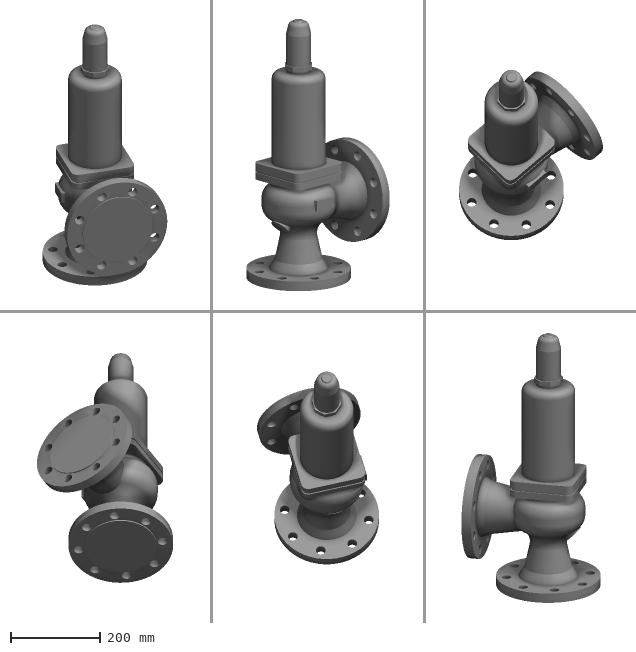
import cadquery as cq
import math


flange_radius = 117.5
flange_depth = 25.5
raised_face_radius = 81.5
raised_face_height = 3.0
bolt_circle_radius = 95.0
bolt_hole_diameter = 21.5
bolt_count = 8

inlet_hub_radius = 67.0
inlet_hub_top = 47.0
inlet_cone_radius = 53.5
throat_radius = 41.5
throat_blend = 36.0
throat_overrun = 10.0

outlet_face_x = 175.0
outlet_axis_z = 175.0
outlet_hub_radius = 68.0
outlet_hub_x = 133.0
outlet_cone_radius = 60.0
outlet_root_radius = 35.5

bowl_radius = 83.0
bowl_band_bottom = 172.5
bowl_band_top = 189.0
bowl_lower_round = 36.0
bowl_upper_round = 33.0
collar_radius = 62.0
collar_blend = 8.0

plate_size = 147.0
plate_corner = 16.0
lower_plate_bottom = 232.0
lower_plate_top = 248.5
upper_plate_bottom = 252.0
upper_plate_top = 270.5
gasket_size = 142.0
plate_blend = 4.0

bonnet_radius = 60.0
bonnet_top = 483.5
bonnet_round = 15.5

neck_radius = 28.0
nut_bottom = 489.5
nut_top = 501.0
nut_width = 61.0
nut_sides = 8
cap_radius = 28.5
cap_taper_bottom = 571.5
cap_taper_top = 591.0
cap_taper_radius = 23.5
cap_shoulder = 599.5
cap_tip_base_radius = 12.5
cap_tip_radius = 10.0
cap_tip = 603.0

boss_diameter = 45.0
boss_face_x = -58.5
boss_face_z = 129.5
boss_length = 48.0

name_plate_width = 53.0
name_plate_bottom = 178.0
name_plate_top = 202.0
name_plate_face_y = -86.0


def bowl_blend(throat, blend, round_radius, band_z, direction, overrun=0.0):
    """Join a neck to a bowl rounding with a tangent concave arc.

    throat is the narrowest radius the arc reaches, and overrun is how far (in radians) the arc
    runs on past that point to meet a sloping neck wall.
    direction is +1 for the rounding above the band and -1 for the one below.
    Returns the neck end, the blend middle, the shared tangent point and the rounding middle.
    """
    round_r = bowl_radius - round_radius
    blend_r = throat + blend
    spread = round_radius + blend
    rise = math.sqrt(spread**2 - (blend_r - round_r) ** 2)
    blend_z = band_z + direction * rise
    angle = math.atan2(rise, blend_r - round_r)

    def round_point(a):
        return (
            round_r + round_radius * math.cos(a),
            band_z + direction * round_radius * math.sin(a),
        )

    def blend_point(a):
        return (
            blend_r - blend * math.cos(a),
            blend_z - direction * blend * math.sin(a),
        )

    return (
        blend_point(-overrun),
        blend_point((angle - overrun) / 2),
        round_point(angle),
        round_point(angle / 2),
    )


def make_body():
    """Inlet neck, bowl and collar, revolved about Z up to the lower plate."""
    throat_end, throat_middle, lower_tangent, lower_middle = bowl_blend(
        throat_radius,
        throat_blend,
        bowl_lower_round,
        bowl_band_bottom,
        -1,
        math.radians(throat_overrun),
    )
    collar_end, collar_middle, upper_tangent, upper_middle = bowl_blend(
        collar_radius, collar_blend, bowl_upper_round, bowl_band_top, 1
    )
    plate_blend_offset = plate_blend * (1 - math.sqrt(0.5))
    return (
        cq.Workplane("XZ")
        .moveTo(0, flange_depth)
        .lineTo(inlet_hub_radius, flange_depth)
        .lineTo(inlet_cone_radius, inlet_hub_top)
        .lineTo(*throat_end)
        .threePointArc(throat_middle, lower_tangent)
        .threePointArc(lower_middle, (bowl_radius, bowl_band_bottom))
        .lineTo(bowl_radius, bowl_band_top)
        .threePointArc(upper_middle, upper_tangent)
        .threePointArc(collar_middle, collar_end)
        .lineTo(collar_radius, lower_plate_bottom - plate_blend)
        .threePointArc(
            (collar_radius + plate_blend_offset, lower_plate_bottom - plate_blend_offset),
            (collar_radius + plate_blend, lower_plate_bottom),
        )
        .lineTo(0, lower_plate_bottom)
        .close()
        .revolve(360, (0, 0), (0, 1))
    )


def make_flange(face):
    """Bolted flange built inwards from a workplane on its sealing face."""
    raised_face = face.circle(raised_face_radius).extrude(raised_face_height)
    disc = (
        face.workplane(offset=raised_face_height)
        .circle(flange_radius)
        .extrude(flange_depth - raised_face_height)
    )
    half_pitch = 180 / bolt_count
    holes = (
        face.polarArray(bolt_circle_radius, half_pitch, 360, bolt_count)
        .circle(bolt_hole_diameter / 2)
        .extrude(flange_depth)
    )
    return raised_face.union(disc).cut(holes)


def make_outlet_neck():
    """Cone and hub running from the inlet axis to the outlet flange."""
    flange_back_x = outlet_face_x - flange_depth
    return (
        cq.Workplane("XZ", origin=(0, 0, outlet_axis_z))
        .polyline(
            [
                (0, 0),
                (0, outlet_root_radius),
                (outlet_hub_x, outlet_cone_radius),
                (flange_back_x, outlet_hub_radius),
                (flange_back_x, 0),
            ]
        )
        .close()
        .revolve(360, (0, 0), (1, 0))
    )


def make_plate(size, bottom, top):
    """Square plate with rounded vertical edges, centred on Z."""
    return (
        cq.Workplane("XY", origin=(0, 0, bottom))
        .rect(size, size)
        .extrude(top - bottom)
        .edges("|Z")
        .fillet(plate_corner)
    )


def make_bonnet():
    """Spring bonnet with a rounded top edge."""
    return (
        cq.Workplane("XY", origin=(0, 0, upper_plate_top))
        .circle(bonnet_radius)
        .extrude(bonnet_top - upper_plate_top)
        .faces(">Z")
        .edges()
        .fillet(bonnet_round)
    )


def make_cap():
    """Neck, tapered cap with a small tip, and the octagonal nut."""
    cap = (
        cq.Workplane("XZ")
        .moveTo(0, bonnet_top)
        .lineTo(neck_radius, bonnet_top)
        .lineTo(neck_radius, nut_top)
        .lineTo(cap_radius, nut_top)
        .lineTo(cap_radius, cap_taper_bottom)
        .lineTo(cap_taper_radius, cap_taper_top)
        .tangentArcPoint((cap_tip_base_radius, cap_shoulder), relative=False)
        .lineTo(cap_tip_radius, cap_tip)
        .lineTo(0, cap_tip)
        .close()
        .revolve(360, (0, 0), (0, 1))
    )
    nut = (
        cq.Workplane("XY", origin=(0, 0, nut_bottom))
        .polygon(nut_sides, nut_width, circumscribed=True)
        .extrude(nut_top - nut_bottom)
    )
    return cap.union(nut)


def make_drain_boss():
    """Round boss whose flat face looks 45 degrees down towards -X."""
    inwards = cq.Plane(
        origin=(boss_face_x, 0, boss_face_z), xDir=(0, 1, 0), normal=(1, 0, 1)
    )
    return cq.Workplane(inwards).circle(boss_diameter / 2).extrude(boss_length)


def make_name_plate():
    """Rectangular pad standing out of the -Y side of the bowl."""
    return (
        cq.Workplane("XY", origin=(0, name_plate_face_y / 2, name_plate_bottom))
        .rect(name_plate_width, -name_plate_face_y)
        .extrude(name_plate_top - name_plate_bottom)
    )


inlet_face = cq.Workplane("XY")
outlet_face = cq.Workplane(
    cq.Plane(origin=(outlet_face_x, 0, outlet_axis_z), xDir=(0, 1, 0), normal=(-1, 0, 0))
)

result = (
    make_body()
    .union(make_flange(inlet_face))
    .union(make_outlet_neck())
    .union(make_flange(outlet_face))
    .union(make_drain_boss())
    .union(make_name_plate())
    .union(make_plate(plate_size, lower_plate_bottom, lower_plate_top))
    .union(make_plate(gasket_size, lower_plate_top, upper_plate_bottom))
    .union(make_plate(plate_size, upper_plate_bottom, upper_plate_top))
    .union(make_bonnet())
    .union(make_cap())
)